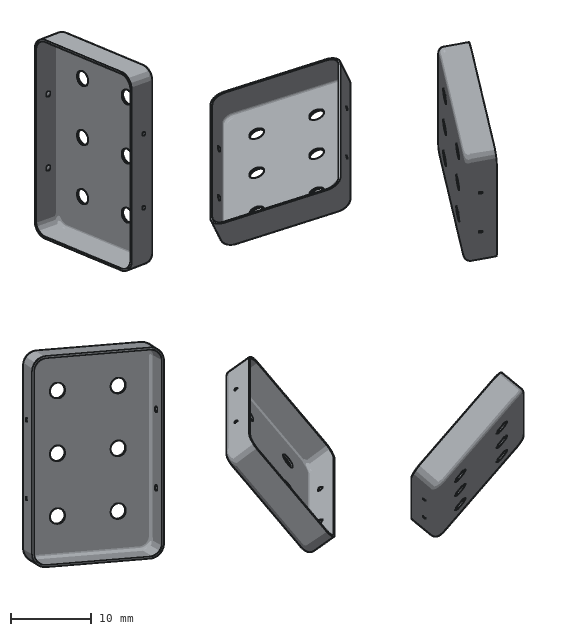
import cadquery as cq

width = 17.4
depth = 4.0
height = 26.9
wall = 0.3
corner_radius = 1.88
floor_edge_radius = 0.8

hole_diameter = 2.0
hole_pitch = 8.0
hole_columns = 2
hole_rows = 3

bump_radius = 0.48
dimple_radius = 0.25
bump_pitch = 10.0
bump_from_rim = 2.07

rim_y = -depth / 2
bump_y = rim_y + bump_from_rim


def rounded_block(inset):
    """Block running back from the rim, inset from the outer sides and floor."""
    return (
        cq.Workplane("XZ", origin=(0, rim_y, 0))
        .rect(width - 2 * inset, height - 2 * inset)
        .extrude(-(depth - inset))
        .edges("|Y")
        .fillet(corner_radius - inset)
        .faces(">Y")
        .edges()
        .fillet(floor_edge_radius - inset)
    )


def floor_holes():
    """Grid of cylinders that cut through the floor."""
    return (
        cq.Workplane("XZ", origin=(0, rim_y, 0))
        .rarray(hole_pitch, hole_pitch, hole_columns, hole_rows)
        .circle(hole_diameter / 2)
        .extrude(-depth)
    )


def wall_domes(radius):
    """Hemispheres based on the outer faces of the long side walls, bulging inward."""
    profile = (
        cq.Workplane("XY")
        .lineTo(radius, 0)
        .radiusArc((0, radius), -radius)
        .close()
    )
    dome = profile.revolve(360, (0, 0, 0), (1, 0, 0))
    domes = cq.Workplane("XY")
    for turn, side in ((0, -1), (180, 1)):
        turned = dome.rotate((0, 0, 0), (0, 0, 1), turn)
        for end in (-1, 1):
            domes = domes.add(turned.translate((side * width / 2, bump_y, end * bump_pitch / 2)))
    return domes.combine()


tray = rounded_block(0).cut(rounded_block(wall)).cut(floor_holes())
result = tray.union(wall_domes(bump_radius)).cut(wall_domes(dimple_radius))